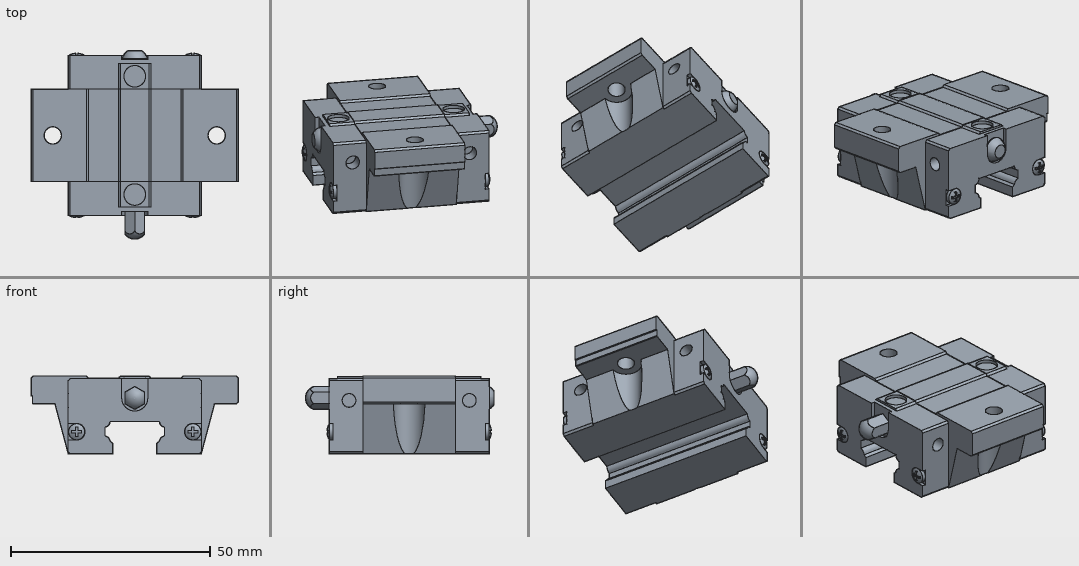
import cadquery as cq
import math


chamfer = 0.5
overlap = 0.5

flange_half_width = 26.0
block_half_length = 11.6
block_height = 19.5
flange_underside = 12.5
skirt_top_half_width = 20.0
end_half_width = 16.7
pad_inner_half_width = 11.6
ridge_half_width = 4.1
relief_depth = 0.35
relief_top = 14.5

bolt_hole_x = 20.55
bolt_hole_radius = 2.15
bolt_clearance_radius = 4.0

cap_half_length = 18.0
plate_half_length = 20.05
end_height = 18.8
cap_ridge_height = end_height + chamfer

dimple_y = 14.8
dimple_radius = 2.7
dimple_depth = 0.8
side_hole_y = 15.1
side_hole_z = 13.35
side_hole_radius = 1.7
side_hole_depth = 4.15

channel_foot_half_width = 5.5
channel_foot_height = 2.6
channel_ledge_half_width = 6.15
channel_ledge_height = 3.15
channel_roof_half_width = 6.15
channel_roof = 8.05
channel_half_width = 7.45
channel_mid_height = 5.55
channel_side_rise = 1.05
lip_waist = (6.3, 2.0)
lip_crown = (6.65, 1.45)
lip_outer = (7.25, 1.15)

recess_depth = 1.0
recess_floor = plate_half_length - recess_depth

port_z = 14.0
port_recess_radius = 3.3
nipple_across_flats = 5.0
nipple_end = 26.0
nipple_dome_radius = 3.0
nipple_tip_radius = 0.3
plug_end = 21.25
plug_radius = 3.1
plug_rim_height = 0.2
plug_tip_radius = 1.7
plug_shoulder_y = 20.25
plug_shoulder_radius = 2.75

screw_x = 14.55
screw_z = 5.5
screw_recess_radius = 2.1
screw_head_radius = 2.05
screw_rim_y = 20.0
screw_top_y = 20.65
slot_width = 0.55
slot_length = 2.5
slot_depth = 0.5


def along_y(profile, half_length):
    """Extrude an XZ outline symmetrically about Y = 0."""
    return profile.extrude(half_length, both=True)


def xz_plane(y):
    """XZ sketch plane at the given Y; extrusions run towards +Y."""
    return cq.Workplane(cq.Plane(origin=(0, y, 0), xDir=(-1, 0, 0), normal=(0, 1, 0)))


def steel_block():
    """Block with two mounting flanges, a shallow recessed top and a sloping skirt."""
    recessed_top = block_height - chamfer
    half_outline = [
        (end_half_width, 0),
        (skirt_top_half_width, flange_underside),
        (flange_half_width - chamfer, flange_underside),
        (flange_half_width, flange_underside + chamfer),
        (flange_half_width, block_height - chamfer),
        (flange_half_width - chamfer, block_height),
        (pad_inner_half_width + chamfer, block_height),
        (pad_inner_half_width, recessed_top),
        (ridge_half_width, recessed_top),
        (ridge_half_width - chamfer, block_height),
    ]
    mirrored = [(-x, z) for x, z in reversed(half_outline)]
    block = along_y(cq.Workplane("XZ").polyline(half_outline + mirrored).close(), block_half_length)

    relief = cq.Workplane("XY").box(
        relief_depth, 2 * block_half_length, relief_top - flange_underside, centered=(False, True, False)
    ).translate((-flange_half_width, 0, flange_underside))
    block = block.cut(relief)

    for side in (-1, 1):
        hole = cq.Workplane("XY").center(side * bolt_hole_x, 0).circle(bolt_hole_radius)
        block = block.cut(hole.extrude(block_height))
    return block


def end_sections():
    """Core running the full length; its exposed ends are the end caps and seal plates."""
    core = cq.Workplane("XY").box(
        2 * end_half_width, 2 * plate_half_length, end_height, centered=(True, True, False)
    )
    core = core.edges("|Y").chamfer(chamfer)
    ridge = cq.Workplane("XZ").polyline([
        (-ridge_half_width, end_height),
        (-ridge_half_width + chamfer, cap_ridge_height),
        (ridge_half_width - chamfer, cap_ridge_height),
        (ridge_half_width, end_height),
    ]).close()
    return core.union(along_y(ridge, cap_half_length))


def bolt_clearances():
    """Upright scallops in both skirts, below the flanges."""
    centres = [(-bolt_hole_x, 0), (bolt_hole_x, 0)]
    return cq.Workplane("XY").pushPoints(centres).circle(bolt_clearance_radius).extrude(flange_underside)


def rail_channel():
    """Rail clearance with rounded lips along its sides, cut along the full length."""
    def on_lip(point, level):
        half_width, distance = point
        return half_width, channel_mid_height + level * distance

    right_half = (
        cq.Workplane("XZ")
        .polyline([
            (0, 0),
            (channel_foot_half_width, 0),
            (channel_foot_half_width, channel_foot_height),
            (channel_ledge_half_width, channel_ledge_height),
            on_lip(lip_waist, -1),
        ])
        .threePointArc(on_lip(lip_crown, -1), on_lip(lip_outer, -1))
        .lineTo(channel_half_width, channel_mid_height - channel_side_rise)
        .lineTo(channel_half_width, channel_mid_height + channel_side_rise)
        .lineTo(*on_lip(lip_outer, 1))
        .threePointArc(on_lip(lip_crown, 1), on_lip(lip_waist, 1))
        .lineTo(channel_roof_half_width, channel_roof)
        .lineTo(0, channel_roof)
        .close()
    )
    right_channel = along_y(right_half, plate_half_length)
    return right_channel.union(right_channel.mirror("YZ"))


def cap_holes(end):
    """Dimple in the top and a blind port in each side of one end cap."""
    dimple = cq.Workplane("XY").workplane(offset=cap_ridge_height - dimple_depth)
    holes = dimple.center(0, end * dimple_y).circle(dimple_radius).extrude(dimple_depth)
    for side in (-1, 1):
        port = cq.Solid.makeCylinder(
            side_hole_radius,
            side_hole_depth,
            cq.Vector(side * end_half_width, end * side_hole_y, side_hole_z),
            cq.Vector(-side, 0, 0),
        )
        holes = holes.add(port)
    return holes.combine()


def slotted_recess(x, z, radius, run_x, run_z):
    """Round-ended pocket in the +Y seal plate, open along (run_x, run_z)."""
    pocket = xz_plane(recess_floor).center(-x, z).circle(radius).extrude(recess_depth)
    width = abs(run_x) or 2 * radius
    height = abs(run_z) or 2 * radius
    opening = xz_plane(recess_floor).center(-x - run_x / 2, z + run_z / 2).rect(width, height)
    return pocket.union(opening.extrude(recess_depth))


def plate_recesses():
    """All pockets of the +Y seal plate."""
    pockets = slotted_recess(0, port_z, port_recess_radius, 0, end_height - port_z)
    for side in (-1, 1):
        run = side * (end_half_width - screw_x)
        pockets = pockets.union(slotted_recess(side * screw_x, screw_z, screw_recess_radius, run, 0))
    return pockets


def screw():
    """Domed screw head on the Y axis, facing +Y, with a cross slot."""
    head = (
        cq.Workplane("XY")
        .moveTo(0, recess_floor - overlap)
        .lineTo(screw_head_radius, recess_floor - overlap)
        .lineTo(screw_head_radius, screw_rim_y)
    )
    rise = screw_top_y - screw_rim_y
    dome_radius = (screw_head_radius ** 2 + rise ** 2) / (2 * rise)
    middle_radius = screw_head_radius / 2
    middle_y = screw_top_y - dome_radius + math.sqrt(dome_radius ** 2 - middle_radius ** 2)
    head = head.threePointArc((middle_radius, middle_y), (0, screw_top_y)).close()
    head = head.revolve(360, (0, 0), (0, 1))
    for width, height in ((slot_width, slot_length), (slot_length, slot_width)):
        head = head.cut(xz_plane(screw_top_y - slot_depth).rect(width, height).extrude(slot_depth))
    return head


def plug():
    """Domed plug in the +Y recess."""
    return (
        cq.Workplane("XY")
        .moveTo(0, recess_floor - overlap)
        .lineTo(plug_radius, recess_floor - overlap)
        .lineTo(plug_radius, recess_floor + plug_rim_height)
        .threePointArc((plug_shoulder_radius, plug_shoulder_y), (plug_tip_radius, plug_end))
        .lineTo(0, plug_end)
        .close()
        .revolve(360, (0, 0), (0, 1))
        .translate((0, 0, port_z))
    )


def nipple():
    """Hexagonal grease nipple with a spherical nose, built pointing towards +Y."""
    corner_radius = nipple_across_flats / math.sqrt(3)
    root = recess_floor - overlap
    angles = [math.radians(60 * corner) for corner in range(6)]
    hexagon = [(corner_radius * math.sin(a), corner_radius * math.cos(a)) for a in angles]
    bar = xz_plane(root).polyline(hexagon).close().extrude(nipple_end - root)
    nose_centre = nipple_end - math.sqrt(nipple_dome_radius ** 2 - nipple_tip_radius ** 2)
    diagonal = nipple_dome_radius * math.sqrt(0.5)
    envelope = (
        cq.Workplane("XY")
        .moveTo(0, root)
        .lineTo(nipple_dome_radius, root)
        .lineTo(nipple_dome_radius, nose_centre)
        .threePointArc(
            (diagonal, nose_centre + diagonal),
            (nipple_tip_radius, nipple_end),
        )
        .lineTo(0, nipple_end)
        .close()
        .revolve(360, (0, 0), (0, 1))
    )
    return bar.intersect(envelope).translate((0, 0, port_z))


def at_end(shape, end):
    """Turn a +Y end feature to the chosen end of the carriage."""
    return shape if end > 0 else shape.rotate((0, 0, 0), (0, 0, 1), 180)


result = steel_block().union(end_sections()).cut(bolt_clearances()).cut(rail_channel())
for end in (-1, 1):
    result = result.cut(cap_holes(end)).cut(at_end(plate_recesses(), end))
    for side in (-1, 1):
        placed_screw = screw().translate((side * screw_x, 0, screw_z))
        result = result.union(at_end(placed_screw, end))
result = result.union(plug()).union(at_end(nipple(), -1))